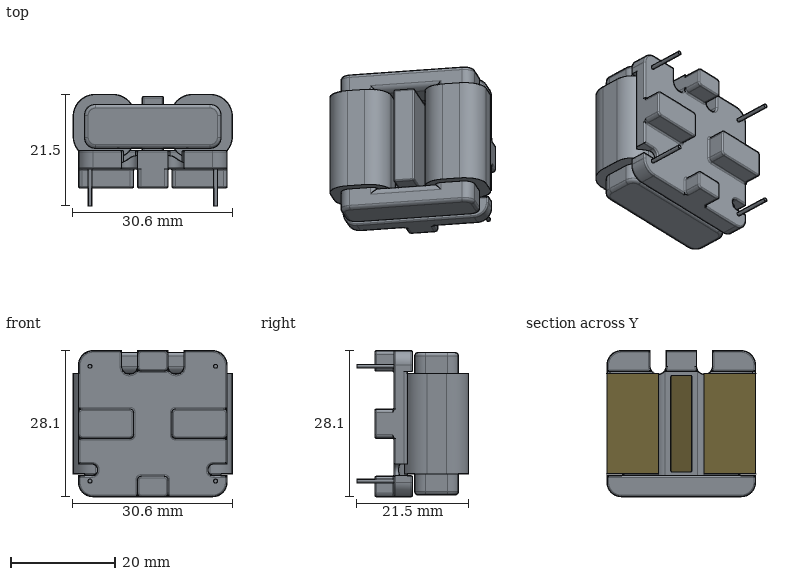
import cadquery as cq
import math

SIDES = (-1, 1)

overall_width = 30.61
overall_depth = 21.47
coil_width = 11.9
coil_depth = 12.33
coil_corner = 4.28
coil_height = 19.32
coil_x = (overall_width - coil_width) / 2

core_width = 26.24
core_depth = 8.42
core_corner = 2.09
core_rim = 0.7
core_height = 27.38
coil_wall = (overall_width - core_width) / 2
window_width = 2 * (coil_x - coil_width / 2 + coil_wall)
window_radius = 1.37

plate_width = 28.54
plate_height = 28.08
plate_corner = 2.76
plate_back = -4.6
plate_front = -8.19
plate_thickness = plate_back - plate_front
edge_radius = 0.3

recess_height = 20.0
recess_floor = -5.63
trough_x = 8.75
trough_y = -0.25
trough_radius = 7.28
ridge_radius = 2.0
outer_lip_radius = 0.58

standoff_front = -11.84
standoff_corner = 0.7
root_level = plate_front + edge_radius
end_standoff_width = 5.86
end_standoff_height = 3.94
side_standoff_width = 10.58
side_standoff_height = 5.64

slot_width = 3.06
slot_x = (end_standoff_width + slot_width) / 2
slot_arc_z = 11.03

notch_height = 2.25
notch_arc_x = 11.72
notch_z = -recess_height / 2 + notch_height / 2

partition_width = 4.05
partition_end = 5.79
partition_height = 18.6

pin_diameter = 0.75
pin_x = 12.07
pin_z = 11.03
pin_tip = coil_depth / 2 - overall_depth


def block(width, height, y_back, y_front, x=0, z=0):
    """Box between two Y levels, centred on x and z."""
    plane = cq.Workplane("XZ", origin=(x, y_back, z))
    return plane.rect(width, height).extrude(y_back - y_front)


def make_coil(side):
    coil = cq.Workplane("XY").box(coil_width, coil_depth, coil_height)
    return coil.edges("|Z").fillet(coil_corner).translate((side * coil_x, 0, 0))


def make_core():
    """Closed core: two legs inside the windings, joined by a yoke at each end."""
    core = cq.Workplane("XY").box(core_width, core_depth, core_height)
    core = core.edges("|Z").fillet(core_corner)
    core = core.faces("<Z or >Z").edges().fillet(core_rim)
    window = block(window_width, coil_height, core_depth / 2, -core_depth / 2)
    core = core.cut(window)
    window_rim = cq.selectors.BoxSelector(
        (-window_width, -core_depth, -coil_height / 2 - core_rim),
        (window_width, core_depth, coil_height / 2 + core_rim),
    )
    return core.faces("<Y or >Y").edges(window_rim).fillet(window_radius)


def make_transformer():
    body = make_core()
    for side in SIDES:
        body = body.union(make_coil(side))
    return body


def make_openings():
    """Through cutters for the two U slots and the two side notches."""
    reach = plate_height / 2
    slot_length = 2 * (reach - slot_arc_z)
    notch_length = 2 * (plate_width / 2 - notch_arc_x)
    cutters = cq.Workplane("XZ")
    for side in SIDES:
        slot = block(slot_width, slot_length, plate_back, plate_front, side * slot_x, reach)
        slot_end = cq.Workplane("XZ", origin=(side * slot_x, plate_back, slot_arc_z))
        slot_end = slot_end.circle(slot_width / 2).extrude(plate_thickness)
        notch_x = side * plate_width / 2
        notch = block(notch_length, notch_height, plate_back, plate_front, notch_x, notch_z)
        notch_end = cq.Workplane("XZ", origin=(side * notch_arc_x, plate_back, notch_z))
        notch_end = notch_end.circle(notch_height / 2).extrude(plate_thickness)
        cutters = cutters.add(slot.union(slot_end)).add(notch.union(notch_end))
    return cutters.combine()


def make_recess():
    """Back recess: a flat step with two troughs, its lips rounded over."""
    half_width = plate_width / 2
    rise = trough_y - recess_floor
    half_chord = math.sqrt(trough_radius**2 - rise**2)
    trough_bottom = trough_y - trough_radius
    bottom_z = -recess_height / 2

    keep = cq.Workplane("XY", origin=(0, 0, bottom_z)).moveTo(-half_width, plate_front)
    keep = keep.lineTo(-half_width, recess_floor)
    for side in SIDES:
        centre = side * trough_x
        keep = keep.lineTo(centre - half_chord, recess_floor)
        keep = keep.threePointArc((centre, trough_bottom), (centre + half_chord, recess_floor))
    keep = keep.lineTo(half_width, recess_floor).lineTo(half_width, plate_front).close()
    keep = keep.extrude(recess_height)
    ridge_x = trough_x - half_chord
    for side in SIDES:
        for lip_x, radius in ((ridge_x, ridge_radius), (half_width, outer_lip_radius)):
            lip = cq.selectors.NearestToPointSelector((side * lip_x, recess_floor, 0))
            keep = keep.edges("|Z").edges(lip).fillet(radius)

    pocket = block(plate_width, recess_height, plate_back, plate_front)
    return pocket.cut(keep)


def make_plate(openings):
    plate = block(plate_width, plate_height, plate_back, plate_front)
    plate = plate.edges("|Y").fillet(plate_corner)
    plate = plate.cut(openings)
    plate = plate.faces("<Y").edges().fillet(edge_radius)
    plate = plate.cut(make_recess())
    return plate.faces(">Y").edges().fillet(edge_radius)


def make_standoff(width, height, x, z):
    """Rounded post on the plate front, its square root sunk a little into the plate."""
    post = block(width, height, plate_front, standoff_front, x, z)
    post = post.edges("|Y").fillet(standoff_corner)
    post = post.faces("<Y").edges().fillet(edge_radius)
    return post.union(block(width, height, root_level, plate_front, x, z))


def make_foot(width, height, x, z):
    """Slice of the post next to the plate, widened by the concave flare around its foot."""
    rim_level = plate_front - edge_radius
    foot_margin = 4 * edge_radius
    post = block(width, height, plate_front, standoff_front, x, z).edges("|Y").fillet(standoff_corner)
    ground_size = (width + foot_margin, height + foot_margin)
    ground = block(*ground_size, root_level, plate_front, x, z)
    flared = ground.union(post)
    corner = cq.Vector(width / 2 + edge_radius / 2, edge_radius / 2, height / 2 + edge_radius / 2)
    centre = cq.Vector(x, plate_front, z)
    foot_edges = cq.selectors.BoxSelector((centre - corner).toTuple(), (centre + corner).toTuple())
    flared = flared.edges(foot_edges).fillet(edge_radius)
    return flared.intersect(block(*ground_size, plate_front, rim_level, x, z))


def make_upper_standoff(width, height, z, openings):
    """Standoff between the slots: square through the plate, flared only along its lower edge."""
    post = make_standoff(width, height, 0, z)
    lower_half = block(2 * width, height, plate_front, standoff_front, 0, z - height / 2)
    foot = make_foot(width, height, 0, z).intersect(lower_half)
    root_height = plate_height / 2 - slot_arc_z
    root_z = plate_height / 2 - root_height / 2
    root = block(width, root_height, plate_back, plate_front, 0, root_z)
    root = root.faces(">Y").edges(">Z").fillet(edge_radius)
    foot_openings = openings.translate((0, -plate_thickness, 0))
    return post.cut(openings).union(foot.cut(foot_openings)).union(root)


def make_standoffs(openings):
    end_z = (plate_height - end_standoff_height) / 2
    side_x = (plate_width - side_standoff_width) / 2
    standoffs = [make_upper_standoff(end_standoff_width, end_standoff_height, end_z, openings)]
    spots = [(end_standoff_width, end_standoff_height, 0, -end_z)]
    for side in SIDES:
        spots.append((side_standoff_width, side_standoff_height, side * side_x, 0))
    for spot in spots:
        standoffs.append(make_standoff(*spot).union(make_foot(*spot)))
    outline = block(plate_width, plate_height, plate_back, standoff_front)
    return [standoff.intersect(outline) for standoff in standoffs]


def make_partition():
    wall = block(partition_width, partition_height, partition_end, recess_floor - edge_radius)
    wall = wall.edges("|Y").fillet(edge_radius)
    return wall.faces(">Y").edges().fillet(edge_radius)


def make_pins():
    points = [(x * pin_x, z * pin_z) for x in SIDES for z in SIDES]
    plane = cq.Workplane("XZ", origin=(0, root_level, 0))
    length = root_level - pin_tip
    return plane.pushPoints(points).circle(pin_diameter / 2).extrude(length)


def make_header():
    openings = make_openings()
    header = make_plate(openings)
    for standoff in make_standoffs(openings):
        header = header.union(standoff)
    return header.union(make_partition()).union(make_pins())


transformer = make_transformer()
header = make_header()
result = cq.Compound.makeCompound([transformer.val(), header.val()])